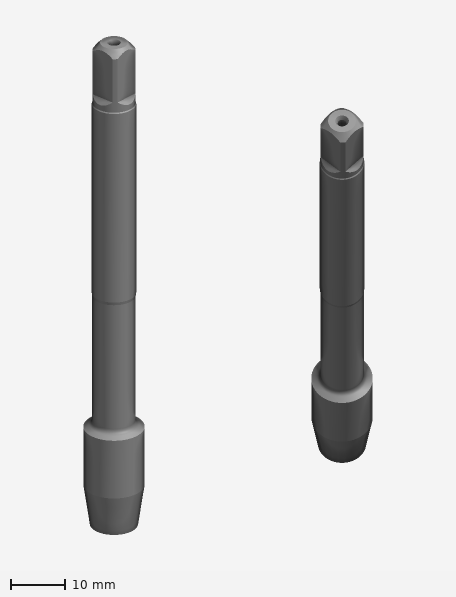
import cadquery as cq
import math

total_length = 100.0

head_diameter = 11.3
head_length = 20.0
lead_length = 8.2
tip_diameter = 8.9

collar_rim = 0.2
collar_slope = 30.0
neck_fillet_radius = 1.0

neck_diameter = 8.0
shank_diameter = 8.2
shank_start = 47.5
shank_start_chamfer = 0.6
journal_diameter = 7.9
shank_end = 87.5
shank_end_chamfer = 0.2

square_width = 6.2
square_length = 10.4
ramp_angle = 50.0
drive_tip_diameter = 5.1

center_hole_diameter = 1.6
center_hole_depth = 3.0
countersink_diameter = 2.5
countersink_angle = 60.0
drill_point_angle = 120.0


def revolve_profile(points):
    """Revolve a closed (radius, height) outline about the Z axis."""
    return cq.Workplane("XZ").polyline(points).close().revolve(360, (0, 0), (0, 1))


def make_cutting_head():
    """Plain cylinder with a tapered lead at its lower end."""
    return revolve_profile([
        (0, 0),
        (tip_diameter / 2, 0),
        (head_diameter / 2, lead_length),
        (head_diameter / 2, head_length),
        (0, head_length),
    ])


def make_shank_blank():
    """Turned shank, before the square and the centre hole are cut."""
    head_radius = head_diameter / 2
    neck_radius = neck_diameter / 2
    shank_radius = shank_diameter / 2
    journal_radius = journal_diameter / 2
    drive_tip_radius = drive_tip_diameter / 2
    tip_chamfer = journal_radius - drive_tip_radius

    slope = math.radians(collar_slope)
    fillet_center_radius = neck_radius + neck_fillet_radius
    fillet_foot_radius = fillet_center_radius - neck_fillet_radius * math.sin(slope)
    rim_top = head_length + collar_rim
    fillet_foot = rim_top + (head_radius - fillet_foot_radius) * math.tan(slope)
    fillet_top = fillet_foot + neck_fillet_radius * math.cos(slope)
    mid_angle = (math.pi / 2 - slope) / 2
    fillet_middle = (
        fillet_center_radius - neck_fillet_radius * math.cos(mid_angle),
        fillet_top - neck_fillet_radius * math.sin(mid_angle),
    )

    outline = (
        cq.Workplane("XZ")
        .moveTo(0, head_length)
        .lineTo(head_radius, head_length)
        .lineTo(head_radius, rim_top)
        .lineTo(fillet_foot_radius, fillet_foot)
        .threePointArc(fillet_middle, (neck_radius, fillet_top))
        .lineTo(neck_radius, shank_start)
        .lineTo(shank_radius, shank_start + shank_start_chamfer)
        .lineTo(shank_radius, shank_end - shank_end_chamfer)
        .lineTo(journal_radius, shank_end)
        .lineTo(journal_radius, total_length - tip_chamfer)
        .lineTo(drive_tip_radius, total_length)
        .lineTo(0, total_length)
        .close()
    )
    return outline.revolve(360, (0, 0), (0, 1))


def make_flat_cutter():
    """Cutter for one drive flat on the +X side, with a sloping ramp at its lower end."""
    flat_offset = square_width / 2
    outer_offset = shank_diameter
    flat_bottom = total_length - square_length
    ramp_drop = (outer_offset - flat_offset) * math.tan(math.radians(ramp_angle))
    outline = [
        (flat_offset, total_length),
        (flat_offset, flat_bottom),
        (outer_offset, flat_bottom - ramp_drop),
        (outer_offset, total_length),
    ]
    return cq.Workplane("XZ").polyline(outline).close().extrude(shank_diameter, both=True)


def make_center_hole_cutter():
    """Blind hole with a conical countersink and a drill-point bottom at the drive end."""
    hole_radius = center_hole_diameter / 2
    countersink_radius = countersink_diameter / 2
    half_angle = math.radians(countersink_angle / 2)
    countersink_depth = (countersink_radius - hole_radius) / math.tan(half_angle)
    drill_point_depth = hole_radius / math.tan(math.radians(drill_point_angle / 2))
    return revolve_profile([
        (0, total_length),
        (countersink_radius, total_length),
        (hole_radius, total_length - countersink_depth),
        (hole_radius, total_length - center_hole_depth),
        (0, total_length - center_hole_depth - drill_point_depth),
    ])


def make_shank():
    """Shank with collar, neck, square drive and centre hole."""
    body = make_shank_blank()
    flat_cutter = make_flat_cutter()
    for angle in (0, 90, 180, 270):
        body = body.cut(flat_cutter.rotate((0, 0, 0), (0, 0, 1), angle))
    return body.cut(make_center_hole_cutter())


cutting_head = make_cutting_head()
shank = make_shank()

result = cq.Compound.makeCompound([cutting_head.val(), shank.val()])